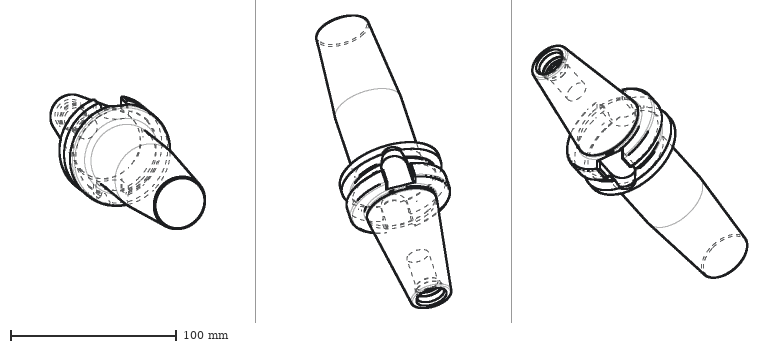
import cadquery as cq
import math


overall_length = 195.4
gauge_length = 65.4
gauge_radius = 44.45 / 2
shank_slope = 7 / 24 / 2
shank_end = 63.7
small_end_round = 0.8

collar_end = 64.8
relief_radius = 21.9
relief_fillet = 1.1

flange_start = gauge_length + 2.0
flange_end = gauge_length + 27.0
flange_radius = 31.5
flange_edge_round = 1.0
groove_center = 81.85
groove_mouth_half_width = 5.2
groove_root_radius = 26.5
groove_root_fillet = 1.0
groove_flank_angle = math.radians(30)

nose_radius = 21.0
nose_fillet = 3.0
nose_tip_radius = 16.5
nose_slope = math.tan(math.radians(4.5))
nose_tip_chamfer = 0.8

slot_width = 16.1
slot_floor = 22.6
slot_end = 88.8
slot_chamfer = 1.2
cutter_clearance = 1.0

mouth_radius = 9.5
mouth_depth = 1.9
counterbore_radius = 8.5
counterbore_depth = 6.0
pilot_radius = 8.0
pilot_depth = 8.4
thread_radius = 6.9
thread_depth = 30.0
drill_point_half_angle = math.radians(59)

round_inset = 1 - math.sqrt(0.5)


def shank_radius(x):
    """Radius of the 7:24 taper at position x."""
    return gauge_radius + (x - gauge_length) * shank_slope


def quarter_round(profile, corner, start, end):
    """Add a quarter arc from start to end that replaces a square corner."""
    middle_x = corner[0] + (start[0] + end[0] - 2 * corner[0]) * round_inset
    middle_radius = corner[1] + (start[1] + end[1] - 2 * corner[1]) * round_inset
    return profile.lineTo(*start).threePointArc((middle_x, middle_radius), end)


def revolve_about_x(profile):
    return profile.close().revolve(360, (0, 0, 0), (1, 0, 0))


def make_body():
    """Shank, flange and nose as one turned solid."""
    collar_radius = shank_radius(shank_end)
    small_end_radius = shank_radius(0)
    nose_taper_start = overall_length - (nose_radius - nose_tip_radius) / nose_slope
    tip_chamfer_start = overall_length - nose_tip_chamfer
    tip_chamfer_radius = nose_tip_radius + nose_tip_chamfer * nose_slope

    profile = cq.Workplane("XY")
    profile = quarter_round(
        profile,
        (0, small_end_radius),
        (0, small_end_radius - small_end_round),
        (small_end_round, shank_radius(small_end_round)),
    )
    profile = (
        profile
        .lineTo(shank_end, collar_radius)
        .lineTo(collar_end, collar_radius)
        .lineTo(collar_end, relief_radius)
    )
    profile = quarter_round(
        profile,
        (flange_start, relief_radius),
        (flange_start - relief_fillet, relief_radius),
        (flange_start, relief_radius + relief_fillet),
    )
    profile = quarter_round(
        profile,
        (flange_start, flange_radius),
        (flange_start, flange_radius - flange_edge_round),
        (flange_start + flange_edge_round, flange_radius),
    )
    profile = quarter_round(
        profile,
        (flange_end, flange_radius),
        (flange_end - flange_edge_round, flange_radius),
        (flange_end, flange_radius - flange_edge_round),
    )
    profile = quarter_round(
        profile,
        (flange_end, nose_radius),
        (flange_end, nose_radius + nose_fillet),
        (flange_end + nose_fillet, nose_radius),
    )
    profile = (
        profile
        .lineTo(nose_taper_start, nose_radius)
        .lineTo(tip_chamfer_start, tip_chamfer_radius)
        .lineTo(overall_length, tip_chamfer_radius - nose_tip_chamfer)
        .lineTo(overall_length, 0)
    )
    return revolve_about_x(profile)


def make_groove():
    """V groove around the flange, with a filleted flat root."""
    flank_run = (flange_radius - groove_root_radius) * math.tan(groove_flank_angle)
    root_half_width = groove_mouth_half_width - flank_run
    flank_turn = math.pi / 2 - groove_flank_angle
    tangent_length = groove_root_fillet * math.tan(flank_turn / 2)
    fillet_offset = root_half_width - tangent_length
    fillet_radius_center = groove_root_radius + groove_root_fillet

    def fillet_point(side, turn):
        offset = fillet_offset + groove_root_fillet * math.sin(turn)
        radius = fillet_radius_center - groove_root_fillet * math.cos(turn)
        return (groove_center + side * offset, radius)

    profile = (
        cq.Workplane("XY")
        .moveTo(groove_center - groove_mouth_half_width, flange_radius)
        .lineTo(*fillet_point(-1, flank_turn))
        .threePointArc(fillet_point(-1, flank_turn / 2), fillet_point(-1, 0))
        .lineTo(*fillet_point(1, 0))
        .threePointArc(fillet_point(1, flank_turn / 2), fillet_point(1, flank_turn))
        .lineTo(groove_center + groove_mouth_half_width, flange_radius)
        .lineTo(groove_center + groove_mouth_half_width, flange_radius + cutter_clearance)
        .lineTo(groove_center - groove_mouth_half_width, flange_radius + cutter_clearance)
    )
    return revolve_about_x(profile)


def make_bore():
    """Stepped pull-stud bore ending in a drill point."""
    pilot_cone_end = pilot_depth + pilot_radius - thread_radius
    point_length = thread_radius / math.tan(drill_point_half_angle)
    profile = (
        cq.Workplane("XY")
        .lineTo(0, mouth_radius)
        .lineTo(mouth_depth, counterbore_radius)
        .lineTo(counterbore_depth, counterbore_radius)
        .lineTo(counterbore_depth, pilot_radius)
        .lineTo(pilot_depth, pilot_radius)
        .lineTo(pilot_cone_end, thread_radius)
        .lineTo(thread_depth, thread_radius)
        .lineTo(thread_depth + point_length, 0)
    )
    return revolve_about_x(profile)


def make_slot():
    """Round-ended drive slot on +Z, with its chamfered edges."""
    half_width = slot_width / 2
    arc_center = slot_end - half_width
    slot_start = flange_start - cutter_clearance
    chamfer_end = flange_start + slot_chamfer
    cutter_height = flange_radius - slot_floor + cutter_clearance
    mouth_half_width = half_width + slot_chamfer

    slot = (
        cq.Workplane("XY", origin=(0, 0, slot_floor))
        .moveTo(slot_start, -mouth_half_width)
        .lineTo(flange_start, -mouth_half_width)
        .lineTo(chamfer_end, -half_width)
        .lineTo(arc_center, -half_width)
        .threePointArc((slot_end, 0), (arc_center, half_width))
        .lineTo(chamfer_end, half_width)
        .lineTo(flange_start, mouth_half_width)
        .lineTo(slot_start, mouth_half_width)
        .close()
        .extrude(cutter_height)
    )

    edge_top = math.sqrt(flange_radius**2 - mouth_half_width**2)
    edge_bottom = edge_top - slot_chamfer
    spread = slot_chamfer + cutter_clearance
    edge_chamfer = (
        cq.Workplane("YZ", origin=(slot_start, 0, 0))
        .moveTo(-half_width, edge_bottom)
        .lineTo(half_width, edge_bottom)
        .lineTo(half_width + spread, edge_bottom + spread)
        .lineTo(-half_width - spread, edge_bottom + spread)
        .close()
        .extrude(groove_center - slot_start)
    )

    end_chamfer = cq.Workplane(
        cq.Solid.makeCone(
            half_width,
            half_width + spread,
            spread,
            pnt=cq.Vector(arc_center, 0, flange_radius - slot_chamfer),
        )
    )
    rear_half = cq.Workplane("XY").box(
        flange_end - groove_center,
        2 * flange_radius,
        2 * flange_radius,
        centered=(False, True, False),
    ).translate((groove_center, 0, 0))
    return slot.union(edge_chamfer).union(end_chamfer.intersect(rear_half))


result = make_body().cut(make_groove()).cut(make_bore())
drive_slot = make_slot()
for slot_angle in (0, 180):
    result = result.cut(drive_slot.rotate((0, 0, 0), (1, 0, 0), slot_angle))